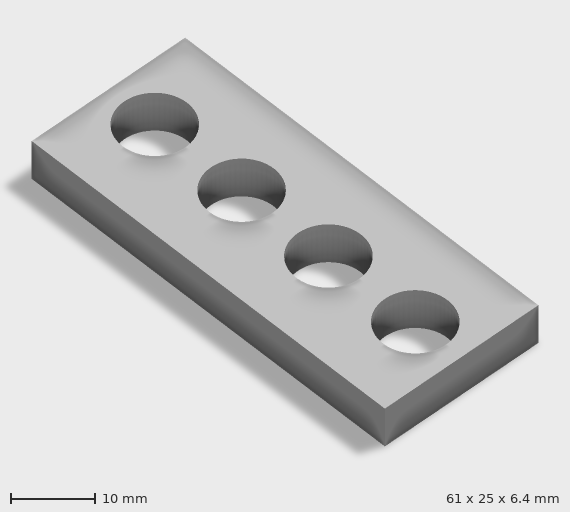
import cadquery as cq

plate_length = 61.0
plate_width = 25.0
plate_thickness = 6.4

hole_diameter = 10.5
hole_count = 4
hole_pitch = 15.0


def make_plate():
    """Flat rectangular plate centred on the origin."""
    return cq.Workplane("XY").box(plate_length, plate_width, plate_thickness)


def drill_hole_row(plate):
    """Evenly spaced through holes, centred on the top face."""
    return (
        plate.faces(">Z")
        .workplane()
        .rarray(hole_pitch, hole_pitch, hole_count, 1)
        .hole(hole_diameter)
    )


result = drill_hole_row(make_plate())